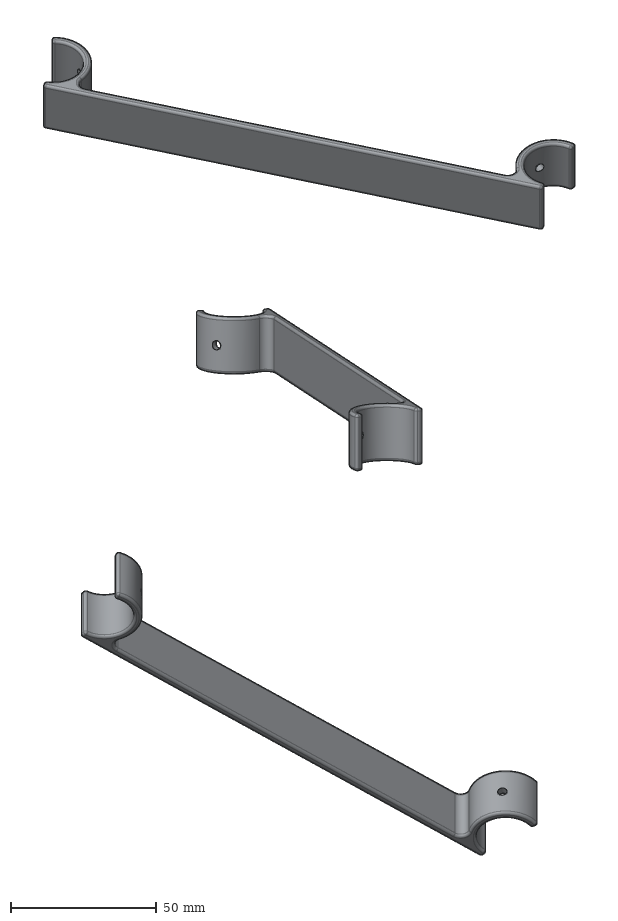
import cadquery as cq
import math

length = 188.3
depth = 26.0
height = 20.0
bar_thickness = 3.0
clip_wall = 2.8
root_radius = 3.0
edge_radius = 1.0
hole_diameter = 3.2
hole_angle = 45.0
start_angle = -90.0
tip_angle = 110.0

outer_radius = depth / 2
inner_radius = outer_radius - clip_wall

tip_lean = math.radians(tip_angle - 90)
rounding_orbit = outer_radius - edge_radius
rounding_reach = math.sqrt(rounding_orbit ** 2 - edge_radius ** 2)
tip_overhang = (
    rounding_reach * math.sin(tip_lean) - edge_radius * math.cos(tip_lean) + edge_radius
)
clip_x = tip_overhang - length / 2
clip_y = outer_radius

root_y = bar_thickness + root_radius
root_x = clip_x + math.sqrt((outer_radius + root_radius) ** 2 - (clip_y - root_y) ** 2)
root_angle = math.degrees(math.atan2(root_y - clip_y, root_x - clip_x))


def polar(x, y, radius, degrees):
    """Point on a circle about (x, y)."""
    angle = math.radians(degrees)
    return x + radius * math.cos(angle), y + radius * math.sin(angle)


def on_clip(radius, degrees):
    """Point on a circle about the left clip's centre."""
    return polar(clip_x, clip_y, radius, degrees)


def make_left_half():
    """Left half of the bar with its clip, all outer edges rounded."""
    blend_middle_angle = (root_angle + 180 + 270) / 2
    profile = (
        cq.Workplane("XY")
        .lineTo(clip_x, 0)
        .lineTo(*on_clip(inner_radius, start_angle))
        .threePointArc(
            on_clip(inner_radius, (start_angle + tip_angle) / 2),
            on_clip(inner_radius, tip_angle),
        )
        .lineTo(*on_clip(outer_radius, tip_angle))
        .threePointArc(
            on_clip(outer_radius, (tip_angle + root_angle) / 2),
            on_clip(outer_radius, root_angle),
        )
        .threePointArc(
            polar(root_x, root_y, root_radius, blend_middle_angle),
            (root_x, bar_thickness),
        )
        .lineTo(0, bar_thickness)
        .close()
    )
    body = profile.extrude(height)

    bar_end = body.edges("|Z").edges(
        cq.selectors.BoxSelector(
            (clip_x - bar_thickness / 2, -bar_thickness / 2, 0),
            (clip_x + bar_thickness / 2, bar_thickness * 1.5, height),
        )
    )
    tip_x, tip_y = on_clip((inner_radius + outer_radius) / 2, tip_angle)
    tip = body.edges("|Z").edges(
        cq.selectors.BoxSelector(
            (tip_x - clip_wall, tip_y - clip_wall, 0),
            (tip_x + clip_wall, tip_y + clip_wall, height),
        )
    )
    body = body.newObject(bar_end.vals() + tip.vals()).fillet(edge_radius)

    rims = body.faces("<Z or >Z").edges().edges("not >X")
    return rims.fillet(edge_radius)


def make_hole():
    """Radial hole through the left clip at mid height."""
    axis = cq.Vector(*polar(0, 0, 1, hole_angle), 0)
    centre = cq.Vector(clip_x, clip_y, height / 2)
    return cq.Workplane(cq.Solid.makeCylinder(hole_diameter / 2, depth, centre, axis))


left_half = make_left_half().cut(make_hole())
result = left_half.union(left_half.mirror("YZ"))